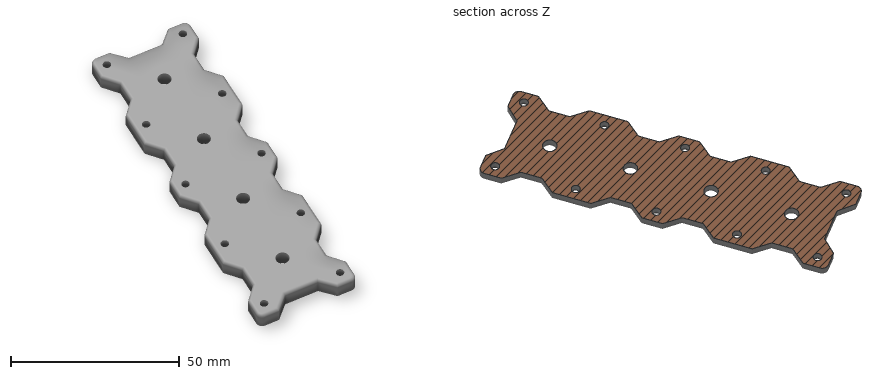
import cadquery as cq

length = 109.7
width = 32.8
thickness = 5.0
corner_radius = 2.0
top_edge_round = 1.0

small_hole_diameter = 2.5
large_hole_diameter = 4.2
small_hole_columns = 5
small_hole_rows = 2
large_hole_columns = small_hole_columns - 1
large_hole_rows = small_hole_rows - 1
hole_span = 101.6
hole_pitch = hole_span / (small_hole_columns - 1)

side_notch_depth = 4.1
side_notch_run = 4.7
side_notch_floor_width = 6.6
side_notch_centres = (11.3, 39.5)

end_notch_depth = 4.4
end_notch_run = 4.3
end_notch_floor_width = 11.0


def notch_cutter(floor_width, depth, run, edge):
    """Prism centred on x = 0 that cuts a notch into the edge at y = edge, widening outwards."""
    overshoot = 1.1
    half_floor = floor_width / 2
    half_mouth = half_floor + run * (depth + overshoot) / depth
    points = [
        (-half_floor, edge - depth),
        (half_floor, edge - depth),
        (half_mouth, edge + overshoot),
        (-half_mouth, edge + overshoot),
    ]
    return cq.Workplane("XY").polyline(points).close().extrude(thickness)


def make_blank():
    """Plate with rounded corners, resting on z = 0."""
    blank = cq.Workplane("XY").box(length, width, thickness, centered=(True, True, False))
    return blank.edges("|Z").fillet(corner_radius)


def cut_side_notches(plate):
    """Cut the long-side notches, mirrored about both centre planes."""
    cutter = notch_cutter(side_notch_floor_width, side_notch_depth, side_notch_run, width / 2)
    for centre in side_notch_centres:
        for x in (-centre, centre):
            notch = cutter.translate((x, 0, 0))
            plate = plate.cut(notch).cut(notch.mirror("XZ"))
    return plate


def cut_end_notches(plate):
    """Cut one centred notch into each short end."""
    cutter = notch_cutter(end_notch_floor_width, end_notch_depth, end_notch_run, length / 2)
    for angle in (90, -90):
        plate = plate.cut(cutter.rotate((0, 0, 0), (0, 0, 1), angle))
    return plate


def drill_hole_grid(plate, columns, rows, diameter):
    """Drill a centred grid of through holes at the common pitch."""
    top = plate.faces(">Z").workplane(origin=(0, 0, thickness))
    return top.rarray(hole_pitch, hole_pitch, columns, rows).hole(diameter)


plate = make_blank()
plate = cut_side_notches(plate)
plate = cut_end_notches(plate)
plate = plate.faces(">Z").edges().fillet(top_edge_round)
plate = drill_hole_grid(plate, small_hole_columns, small_hole_rows, small_hole_diameter)
result = drill_hole_grid(plate, large_hole_columns, large_hole_rows, large_hole_diameter)